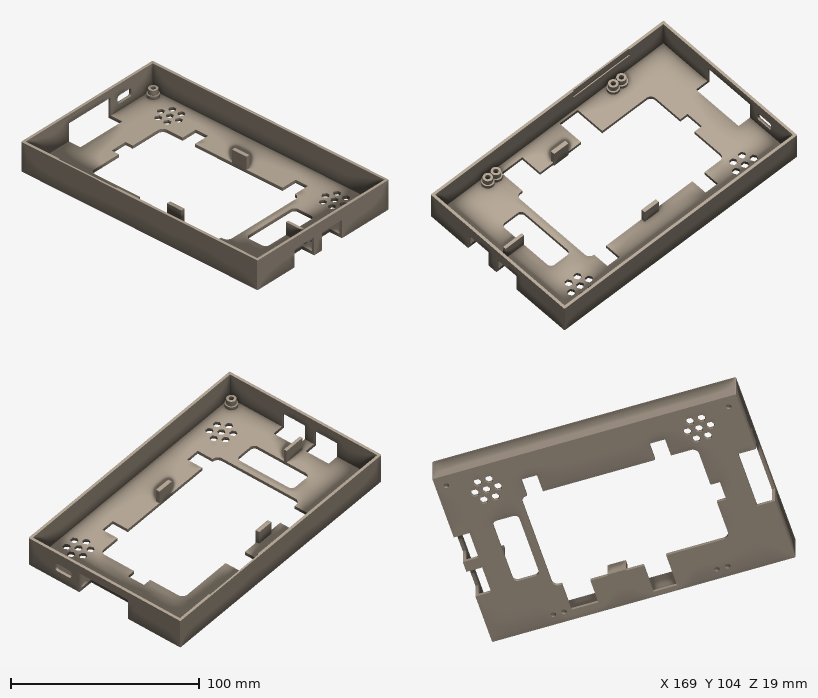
import cadquery as cq
import math

LENGTH = 169.0
WIDTH = 104.0
HEIGHT = 19.0
WALL = 1.7
FLOOR = 2.0
OUTER_CORNER_RADIUS = 0.5

INNER_X = LENGTH / 2 - WALL
INNER_Y = WIDTH / 2 - WALL

OPENING = (-55.0, 43.3, -29.9, 27.0)
OPENING_RADIUS = 3.4
NOTCH_TOP_Y = 37.3
NOTCH_WIDTH = 8.8
SHELF_X = (-6.3, 23.5)
SHELF_Y = -32.3
OPENING_NOTCHES = [
    (-40.4, -40.4 + NOTCH_WIDTH, 0, NOTCH_TOP_Y),
    (31.0, 31.0 + NOTCH_WIDTH, 0, NOTCH_TOP_Y),
    (-60.2, 0, -7.3, 3.7),
    (-19.5, SHELF_X[0], -49.0, 0),
    (*SHELF_X, SHELF_Y, 0),
    (SHELF_X[1], 38.5, -46.1, 0),
]

SLOT = (47.8, 62.4, -20.8, 17.5)
SLOT_RADIUS = 2.7

SOUND_HOLE_SIDES = 6
SOUND_HOLE_ACROSS_CORNERS = 4.5
SOUND_HOLE_PITCH = 6.5
SOUND_RING_COUNT = 6
SOUND_CENTRES = [(-59.5, 38.0), (59.2, 37.0)]

BAY_DEPTH = 10.0
BAY_Y = (-16.0, 17.0)
BAY_TOP = 13.5

WINDOW_DEPTH = 8.8
WINDOW_WIDTH = 15.7
WINDOW_TOP = 11.7
WINDOW_CENTRES_Y = [7.0, -15.0]

GROOVE_WIDTH = 3.0
GROOVE_DEPTH = 0.2
GROOVE_RIM_GAP = 0.5
GROOVE_TOP = HEIGHT - GROOVE_RIM_GAP

PORT_Y = (22.6, 33.5)
PORT_Z = (6.5, 11.7)
PORT_RADIUS = 1.4

TAB_LENGTH = 10.3
TAB_TOP = 10.3
TABS = [
    (-5.0, -5.0 + TAB_LENGTH, OPENING[3], 29.4),
    (3.5, 3.5 + TAB_LENGTH, -34.1, -31.6),
    (SLOT[1], LENGTH / 2 - WINDOW_DEPTH, -5.0, -3.2),
]

FOOT_DIAMETER = 7.3
FOOT_HEIGHT = 2.0
POST_DIAMETER = 5.5
POST_HEIGHT = 5.2
POST_HOLE_DIAMETER = 2.9
REAR_POST_Y = 46.0
FRONT_POST_Y = -46.1
POST_PAIR_PITCH = 5.9
POST_CENTRES = [
    (-78.6, REAR_POST_Y),
    (78.6, REAR_POST_Y),
    (-48.5, FRONT_POST_Y),
    (-48.5 + POST_PAIR_PITCH, FRONT_POST_Y),
    (42.6, FRONT_POST_Y),
    (42.6 + POST_PAIR_PITCH, FRONT_POST_Y),
]

RELIEF_X = (-58.3, -17.5)
RELIEF_DEPTH = 0.59
RELIEF_BOTTOM = 13.5


def block(x0, x1, y0, y1, z0, z1):
    return cq.Workplane("XY").box(x1 - x0, y1 - y0, z1 - z0, centered=False).translate((x0, y0, z0))


def floor_cutter(bounds):
    return block(*bounds, 0, FLOOR)


def make_tray():
    outer = cq.Workplane("XY").box(LENGTH, WIDTH, HEIGHT, centered=(True, True, False))
    outer = outer.edges("|Z").fillet(OUTER_CORNER_RADIUS)
    return outer.cut(block(-INNER_X, INNER_X, -INNER_Y, INNER_Y, FLOOR, HEIGHT))


def cut_floor(body):
    body = body.cut(floor_cutter(OPENING).edges("|Z").fillet(OPENING_RADIUS))
    for notch in OPENING_NOTCHES:
        body = body.cut(floor_cutter(notch))
    return body.cut(floor_cutter(SLOT).edges("|Z").fillet(SLOT_RADIUS))


def cut_sound_holes(body):
    for x, y in SOUND_CENTRES:
        places = [(x, y)]
        for index in range(SOUND_RING_COUNT):
            angle = 2 * math.pi * index / SOUND_RING_COUNT
            places.append((x + SOUND_HOLE_PITCH * math.cos(angle), y + SOUND_HOLE_PITCH * math.sin(angle)))
        holes = (
            cq.Workplane("XY")
            .pushPoints(places)
            .polygon(SOUND_HOLE_SIDES, SOUND_HOLE_ACROSS_CORNERS)
            .extrude(FLOOR)
        )
        body = body.cut(holes)
    return body


def cut_left_wall(body):
    body = body.cut(block(-LENGTH / 2, -LENGTH / 2 + BAY_DEPTH, *BAY_Y, 0, BAY_TOP))
    port = block(-LENGTH / 2, -INNER_X, *PORT_Y, *PORT_Z)
    return body.cut(port.edges("|X").fillet(PORT_RADIUS))


def cut_right_wall(body):
    for y in WINDOW_CENTRES_Y:
        y0 = y - WINDOW_WIDTH / 2
        y1 = y + WINDOW_WIDTH / 2
        body = body.cut(block(LENGTH / 2 - WINDOW_DEPTH, LENGTH / 2, y0, y1, 0, WINDOW_TOP))
        groove = (
            cq.Workplane("XY", origin=(INNER_X, y, WINDOW_TOP))
            .moveTo(0, -GROOVE_WIDTH / 2)
            .lineTo(GROOVE_DEPTH, 0)
            .lineTo(0, GROOVE_WIDTH / 2)
            .close()
            .extrude(GROOVE_TOP - WINDOW_TOP)
        )
        body = body.cut(groove)
    return body


def cut_relief(body):
    return body.cut(block(*RELIEF_X, -INNER_Y - RELIEF_DEPTH, -INNER_Y, RELIEF_BOTTOM, HEIGHT))


def add_tabs(body):
    for tab in TABS:
        body = body.union(block(*tab, 0, TAB_TOP))
    return body


def cylinder(center, diameter, z0, height):
    return cq.Workplane("XY", origin=(*center, z0)).circle(diameter / 2).extrude(height)


def add_posts(body):
    for center in POST_CENTRES:
        body = body.union(cylinder(center, FOOT_DIAMETER, 0, FLOOR + FOOT_HEIGHT))
        body = body.union(cylinder(center, POST_DIAMETER, 0, FLOOR + POST_HEIGHT))
    for center in POST_CENTRES:
        body = body.cut(cylinder(center, POST_HOLE_DIAMETER, 0, FLOOR + POST_HEIGHT))
    return body


result = make_tray()
result = cut_floor(result)
result = cut_sound_holes(result)
result = cut_left_wall(result)
result = cut_right_wall(result)
result = cut_relief(result)
result = add_tabs(result)
result = add_posts(result)